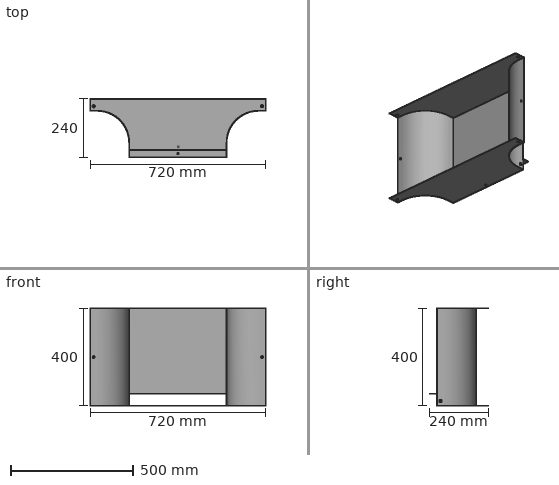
import cadquery as cq

length = 720.0
height = 400.0
depth = 240.0
sheet = 1.0

lip_width = 29.5
wing_depth = 50.0
flange_width = 30.0
corner_radius = 129.5
front_y = lip_width - depth
half_length = length / 2
half_front = half_length - flange_width - corner_radius
corner_x = half_front + corner_radius
corner_y = -wing_depth - corner_radius

opening_height = 49.0

fixing_diameter = 7.0
wing_hole_diameter = 9.0
side_hole_diameter = 10.0
lip_hole_diameter = 5.0
edge_distance = 15.0
wing_hole_y = -30.0
side_hole_z = 20.0


def plate(bottom_z):
    """Flat T-shaped sheet with a concave arc in each front corner."""
    arc_offset = corner_radius * 0.5**0.5
    arc_x = corner_x - arc_offset
    arc_y = corner_y + arc_offset
    return (
        cq.Workplane("XY", origin=(0, 0, bottom_z))
        .moveTo(-half_length, 0)
        .lineTo(half_length, 0)
        .lineTo(half_length, -wing_depth)
        .lineTo(corner_x, -wing_depth)
        .threePointArc((arc_x, arc_y), (half_front, corner_y))
        .lineTo(half_front, front_y)
        .lineTo(-half_front, front_y)
        .lineTo(-half_front, corner_y)
        .threePointArc((-arc_x, arc_y), (-corner_x, -wing_depth))
        .lineTo(-half_length, -wing_depth)
        .close()
        .extrude(sheet)
    )


def curved_wall():
    """Right-hand wall: wing flange, quarter-round sweep and straight side flange."""
    inner_offset = (corner_radius + sheet) * 0.5**0.5
    outer_offset = corner_radius * 0.5**0.5
    return (
        cq.Workplane("XY")
        .moveTo(half_length, -wing_depth)
        .lineTo(corner_x, -wing_depth)
        .threePointArc((corner_x - outer_offset, corner_y + outer_offset), (half_front, corner_y))
        .lineTo(half_front, front_y)
        .lineTo(half_front - sheet, front_y)
        .lineTo(half_front - sheet, corner_y)
        .threePointArc(
            (corner_x - inner_offset, corner_y + inner_offset),
            (corner_x, -wing_depth + sheet),
        )
        .lineTo(half_length, -wing_depth + sheet)
        .close()
        .extrude(height)
    )


def front_wall_with_lip():
    """Front wall bent outward along its lower edge, leaving an opening above the bottom plate."""
    inner_y = front_y + sheet
    lip_top = opening_height + sheet
    return (
        cq.Workplane("YZ", origin=(-half_front, 0, 0))
        .moveTo(inner_y, height)
        .lineTo(inner_y, opening_height)
        .lineTo(-depth, opening_height)
        .lineTo(-depth, lip_top)
        .lineTo(front_y, lip_top)
        .lineTo(front_y, height)
        .close()
        .extrude(2 * half_front)
    )


def drill(axis, center, diameter, reach):
    """Cylinder along an axis, centred on a point and reaching equally to both sides."""
    tool = cq.Workplane(cq.Plane(origin=center, normal=axis))
    return tool.circle(diameter / 2).extrude(reach, both=True)


x_axis = (1, 0, 0)
y_axis = (0, 1, 0)
z_axis = (0, 0, 1)

right_wall = curved_wall()
body = plate(0).union(plate(height - sheet)).union(front_wall_with_lip())
body = body.union(right_wall).union(right_wall.mirror("YZ"))

for side in (-1, 1):
    wing_x = side * (half_length - edge_distance)
    body = body.cut(drill(z_axis, (wing_x, wing_hole_y, height / 2), wing_hole_diameter, height))
    body = body.cut(drill(y_axis, (wing_x, -wing_depth, height / 2), fixing_diameter, 2 * sheet))
    side_hole = (side * half_front, front_y + edge_distance, side_hole_z)
    body = body.cut(drill(x_axis, side_hole, side_hole_diameter, 2 * sheet))

body = body.cut(drill(z_axis, (0, edge_distance - depth, opening_height), lip_hole_diameter, 2 * sheet))
body = body.cut(drill(z_axis, (0, front_y + edge_distance, 0), fixing_diameter, 2 * sheet))

result = body